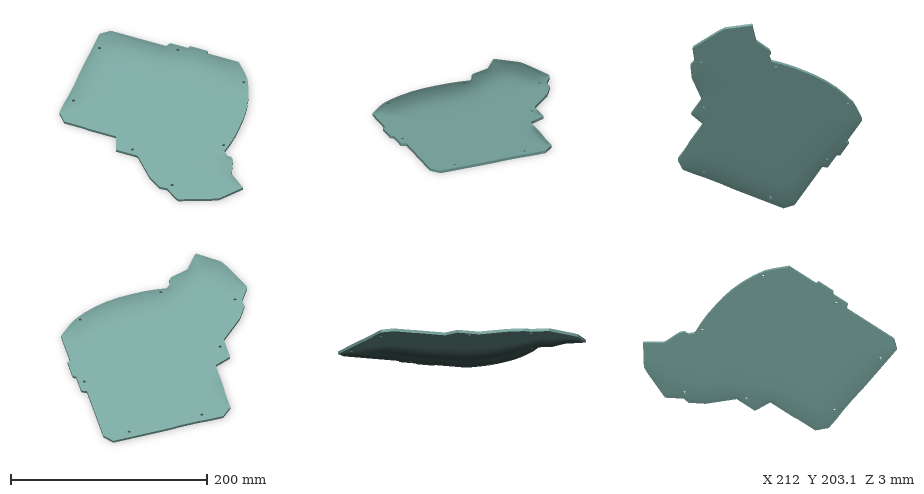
import cadquery as cq

length = 212.0
width = 203.1
thickness = 3.0
hole_diameter = 3.0

corner_x = 9.3
body_top = 194.7
body_bottom = 60.0
top_cut_height = 7.8
bottom_cut_height = 10.4
recess_depth = 0.6
recess_bottom = 84.8
recess_top = 126.8
recess_ramp = 11.7

shelf_y = 200.0
shelf_left = 72.0
shelf_right = 146.7
shelf_slope = 2.3
tab_left = 91.5
tab_right = 112.2
tab_side = 1.7
tab_cut = 1.5
tab_right_cut = 0.6

bulge_start = (163.3, 180.9)
bulge_upper = (174.0, 154.2)
bulge_top = (179.0, 116.8)
bulge_lower = (179.0, 101.1)
bulge_end = (176.5, 79.3)
shoulder_bend = (157.8, 187.9)

notch_y = 74.0
notch_left = 181.3
notch_right = 185.8
notch_cut = 3.2
thumb_root = (194.2, 52.4)
thumb_tip = (length, 38.4)
thumb_end_upper = (194.5, 16.1)
thumb_end_lower = (187.2, 12.5)
lowest_corner = (156.0, 0)
thumb_inner_lower = (153.5, 0.8)
thumb_inner_upper = (139.7, 10.2)
dip_corner = (132.5, 9.3)
slant_bend = (118.1, 18.5)

ledge_y = 42.0
ledge_left = 72.5
ledge_right = 95.8
ledge_slope = 6.5
edge_drop = 0.6
edge_drop_left = 28.8
edge_drop_right = 36.5

hole_centers = [
    (7.0, 168.2),
    (7.8, 90.8),
    (82.5, 193.8),
    (161.4, 175.4),
    (172.8, 86.5),
    (88.0, 48.1),
    (143.0, 16.5),
]


def top_edge():
    """Points from the upper left corner to the start of the bulge."""
    return [
        (0, body_top - top_cut_height),
        (corner_x, body_top),
        (shelf_left - shelf_slope, body_top),
        (shelf_left, shelf_y),
        (tab_left, shelf_y),
        (tab_left, shelf_y + tab_side),
        (tab_left + tab_cut, width),
        (tab_right - tab_right_cut, width),
        (tab_right, width - tab_right_cut),
        (tab_right, shelf_y),
        (shelf_right, shelf_y),
        shoulder_bend,
        bulge_start,
    ]


def thumb_edge():
    """Points around the thumb area, from the end of the bulge to the ledge."""
    return [
        (notch_left, notch_y),
        (notch_right, notch_y),
        (notch_right + notch_cut, notch_y - notch_cut),
        thumb_root,
        thumb_tip,
        thumb_end_upper,
        thumb_end_lower,
        lowest_corner,
        thumb_inner_lower,
        thumb_inner_upper,
        dip_corner,
        slant_bend,
        (ledge_right, ledge_y),
    ]


def lower_left_edge():
    """Points along the ledge, the lower edge and the relieved left edge."""
    return [
        (ledge_left, ledge_y),
        (ledge_left - ledge_slope, body_bottom - edge_drop),
        (edge_drop_right, body_bottom - edge_drop),
        (edge_drop_left, body_bottom),
        (corner_x, body_bottom),
        (0, body_bottom + bottom_cut_height),
        (0, recess_bottom),
        (recess_depth, recess_bottom + recess_ramp),
        (recess_depth, recess_top - recess_ramp),
        (0, recess_top),
    ]


plate = (
    cq.Workplane("XY")
    .polyline(top_edge())
    .threePointArc(bulge_upper, bulge_top)
    .threePointArc(bulge_lower, bulge_end)
)
for point in thumb_edge() + lower_left_edge():
    plate = plate.lineTo(*point)
plate = plate.close().extrude(thickness)

holes = (
    cq.Workplane("XY")
    .pushPoints(hole_centers)
    .circle(hole_diameter / 2)
    .extrude(thickness)
)

result = plate.cut(holes)